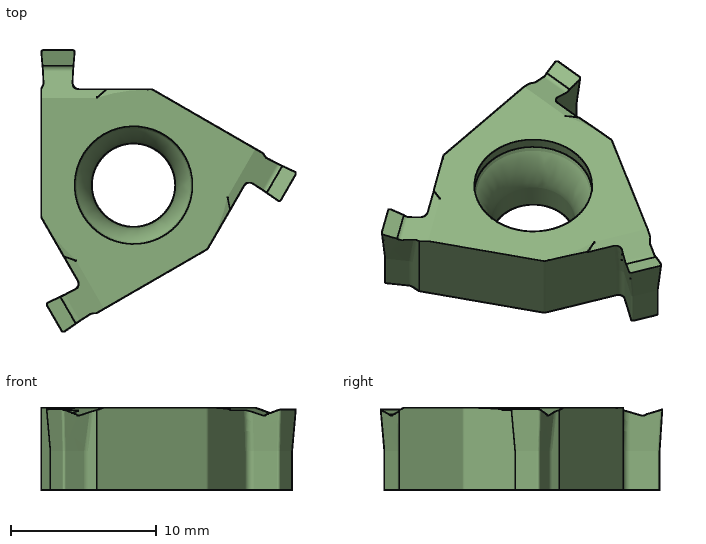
import cadquery as cq
import math

TEETH = 3
HEIGHT = 5.67

LONG_FLAT = 6.35
TOOTH_FLAT = 6.6
CORNER_RADIUS = 0.39

TIP_Y = 9.29
TIP_LEFT = -6.35
TIP_RIGHT = -4.02
TIP_RADIUS = 0.15
NECK_NARROWING = 0.14
FLARE_SLOPE = 2.0
FLARE_TANGENT = 0.14
ROOT_RADIUS = 0.43
TOOTH_ROOT_Y = 5.8
RELIEF_INSET = 0.2
RELIEF_BASE_Z = 2.69

EDGE_DROP = 0.12
GROOVE_DROP = 0.52
GROOVE_FLOOR_DROP = 0.55
GROOVE_OUTER_DROP = 0.45
GROOVE_INNER_Y = 7.8
GROOVE_MIDDLE_Y = 7.97
GROOVE_OUTER_Y = 8.19
RAMP_START_Y = 6.0
RAMP_END_X = -2.52
RAMP_EDGE_X = -1.84
MARGIN = 0.39

CONE_X = 0.97
CONE_RADIUS = 11.03
CONE_WIDTH = 0.77
CONE_TOP_Y = 6.55

BORE_RADIUS = 5.7 / 2
SEAT_RADIUS = 4.05
BOWL_RADIUS = 3.9
BOWL_CURVE = 4.0
SEAT_DEPTH = 0.81
BOWL_DEPTH = 1.06


def turned(shape, step):
    return shape.rotate((0, 0, 0), (0, 0, 1), step * 360 / TEETH)


def make_body():
    far_corner_x = 2 * LONG_FLAT - math.sqrt(3) * TOOTH_FLAT
    points = []
    for step in range(TEETH):
        angle = -step * 2 * math.pi / TEETH
        for x in (-LONG_FLAT, far_corner_x):
            points.append((
                x * math.cos(angle) - TOOTH_FLAT * math.sin(angle),
                x * math.sin(angle) + TOOTH_FLAT * math.cos(angle),
            ))
    body = cq.Workplane("XY").polyline(points).close().extrude(HEIGHT)
    for x, y in points[1::2]:
        body = body.edges(cq.selectors.NearestToPointSelector((x, y, HEIGHT / 2))).fillet(CORNER_RADIUS)
    return body


def tooth_outline(plane, inset):
    """Draw the tooth outline with its tip and flanks moved in by inset."""
    tip_y = TIP_Y - inset
    left = TIP_LEFT + inset
    right = TIP_RIGHT - inset
    neck_left = left + NECK_NARROWING
    neck_right = right - NECK_NARROWING
    flare_top = TOOTH_FLAT + FLARE_SLOPE * (neck_left + LONG_FLAT)
    flare_length = math.hypot(1, FLARE_SLOPE)
    flare_end = (
        neck_left - FLARE_TANGENT / flare_length,
        flare_top - FLARE_TANGENT * FLARE_SLOPE / flare_length,
    )
    return (
        plane.moveTo(-LONG_FLAT, TOOTH_ROOT_Y)
        .lineTo(-LONG_FLAT, TOOTH_FLAT)
        .lineTo(*flare_end)
        .tangentArcPoint((neck_left, flare_top + FLARE_TANGENT), relative=False)
        .lineTo(left, tip_y - TIP_RADIUS)
        .radiusArc((left + TIP_RADIUS, tip_y), TIP_RADIUS)
        .lineTo(right - TIP_RADIUS, tip_y)
        .radiusArc((right, tip_y - TIP_RADIUS), TIP_RADIUS)
        .lineTo(neck_right, TOOTH_FLAT + ROOT_RADIUS)
        .radiusArc((neck_right + ROOT_RADIUS, TOOTH_FLAT), -ROOT_RADIUS)
        .lineTo(neck_right + ROOT_RADIUS, TOOTH_ROOT_Y)
        .close()
    )


def make_tooth():
    shank = tooth_outline(cq.Workplane("XY"), RELIEF_INSET).extrude(RELIEF_BASE_Z)
    lower = tooth_outline(cq.Workplane("XY", origin=(0, 0, RELIEF_BASE_Z)), RELIEF_INSET)
    upper = tooth_outline(cq.Workplane("XY", origin=(0, 0, HEIGHT)), 0)
    head = cq.Solid.makeLoft([lower.wire().val(), upper.wire().val()], True)
    return shank.union(cq.Workplane(head))


def make_chip_groove():
    profile = (
        cq.Workplane("YZ", origin=(-LONG_FLAT - MARGIN, 0, 0))
        .moveTo(RAMP_START_Y, HEIGHT)
        .lineTo(GROOVE_INNER_Y, HEIGHT - GROOVE_DROP)
        .threePointArc((GROOVE_MIDDLE_Y, HEIGHT - GROOVE_FLOOR_DROP),
                       (GROOVE_OUTER_Y, HEIGHT - GROOVE_OUTER_DROP))
        .lineTo(TIP_Y, HEIGHT - EDGE_DROP)
        .lineTo(TIP_Y + MARGIN, HEIGHT - EDGE_DROP)
        .lineTo(TIP_Y + MARGIN, HEIGHT + MARGIN)
        .lineTo(RAMP_START_Y, HEIGHT + MARGIN)
        .close()
        .extrude(LONG_FLAT)
    )
    reach = (
        cq.Workplane("XY")
        .moveTo(-LONG_FLAT - MARGIN, RAMP_START_Y)
        .lineTo(RAMP_END_X, RAMP_START_Y)
        .lineTo(RAMP_EDGE_X, TOOTH_FLAT)
        .lineTo(RAMP_EDGE_X, TIP_Y + MARGIN)
        .lineTo(-LONG_FLAT - MARGIN, TIP_Y + MARGIN)
        .close()
        .extrude(HEIGHT + MARGIN)
    )
    return profile.intersect(reach)


def make_edge_relief():
    slope = GROOVE_DROP / (GROOVE_INNER_Y - RAMP_START_Y)
    ring = (
        cq.Workplane("XZ")
        .moveTo(CONE_RADIUS, HEIGHT)
        .lineTo(CONE_RADIUS + CONE_WIDTH, HEIGHT - slope * CONE_WIDTH)
        .lineTo(CONE_RADIUS + CONE_WIDTH, HEIGHT + MARGIN)
        .lineTo(CONE_RADIUS, HEIGHT + MARGIN)
        .close()
        .revolve(360, (0, 0, 0), (0, 1, 0))
        .translate((CONE_X, CONE_TOP_Y - CONE_RADIUS, 0))
    )
    reach = (
        cq.Workplane("XY")
        .rect(CONE_X - RAMP_END_X, TIP_Y - RAMP_START_Y)
        .extrude(HEIGHT + MARGIN)
        .translate(((CONE_X + RAMP_END_X) / 2, (TIP_Y + RAMP_START_Y) / 2, 0))
    )
    return ring.intersect(reach)


def make_bore():
    bowl_z = HEIGHT - BOWL_DEPTH
    curve_center = BORE_RADIUS + BOWL_CURVE
    throat_z = bowl_z - math.sqrt(BOWL_CURVE**2 - (curve_center - BOWL_RADIUS)**2)
    return (
        cq.Workplane("XZ")
        .moveTo(0, 0)
        .lineTo(BORE_RADIUS, 0)
        .lineTo(BORE_RADIUS, throat_z)
        .radiusArc((BOWL_RADIUS, bowl_z), BOWL_CURVE)
        .lineTo(SEAT_RADIUS, HEIGHT - SEAT_DEPTH)
        .lineTo(SEAT_RADIUS, HEIGHT)
        .lineTo(0, HEIGHT)
        .close()
        .revolve(360, (0, 0, 0), (0, 1, 0))
    )


tooth = make_tooth()
chip_groove = make_chip_groove()
edge_relief = make_edge_relief()

result = make_body()
for step in range(TEETH):
    result = result.union(turned(tooth, step))
for step in range(TEETH):
    result = result.cut(turned(chip_groove, step))
    result = result.cut(turned(edge_relief, step))
result = result.cut(make_bore())